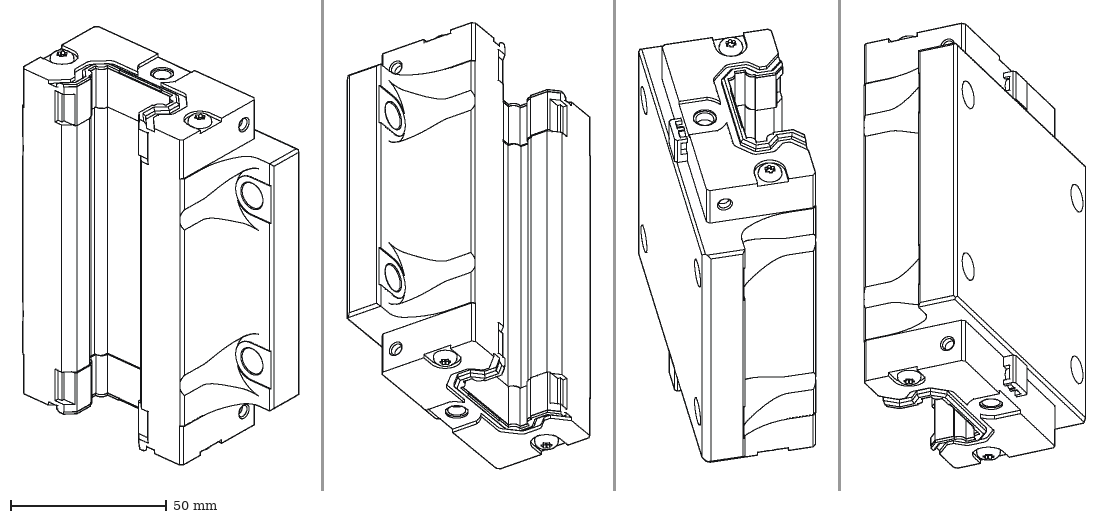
import cadquery as cq
import math


FLANGE_HALF_WIDTH = 50.0
CARRIAGE_HEIGHT = 40.5
TOTAL_LENGTH = 123.5
BLOCK_LENGTH = 92.6

FLANGE_UNDERSIDE = 26.5
FLANGE_CHAMFER = 1.0
REFERENCE_CHAMFER = 2.5
LEG_HALF_WIDTH = 35.1
LEG_CHAMFER = 1.0
WALL_TOP = 9.0
WALL_RADIUS = 28.4
FLANGE_FILLET = 6.0

HOLE_X = 41.0
HOLE_Z = 31.0
HOLE_DIAMETER = 9.0
HOLE_RIM_DIAMETER = 9.6
SEAT_RADIUS = 7.0
SEAT_DEPTH = 0.4
RELIEF_X = 46.2
RELIEF_RADIUS = 11.7

CHANNEL_TOP = 18.4
CHANNEL_LEG_X = 13.3
CHANNEL_LIP_TOP = 9.6
CHANNEL_NECK_X = 14.0
CHANNEL_GROOVE_X = 16.7
GROOVE_BOTTOM = 12.4
GROOVE_TOP = 15.8
GROOVE_ROUND = 2.2
LIP_CHAMFER = 3.0
BLOCK_CLEARANCE = 0.5

CAP_HALF_WIDTH = 34.7
CAP_TOP = 36.1
CAP_FACE = 60.9
CAP_CHAMFER = 1.0
CAP_RECESS = 1.2

SEAL_TOP = 20.6
SEAL_TOP_X = 14.8
SEAL_WIDE_X = 18.9
SEAL_WIDE_BOTTOM = 11.7
SEAL_NARROW_X = 15.5
SEAL_NARROW_BOTTOM = 4.0
SEAL_MARGIN = 2.5
SEAL_BEVEL = 0.9
SEAL_CLEARANCE = 0.1
SEAL_RELIEF_HALF_WIDTH = 9.1
SEAL_RELIEF_DEPTH = 0.5

PORT_Y = 29.3
PORT_DIAMETER = 5.8
PORT_MOUTH_DIAMETER = 7.4
PORT_MOUTH_DEPTH = 0.6
PORT_DEPTH = 3.7
TAB_HALF_WIDTH = 7.9
TAB_STRAIGHT_END = 26.8
TAB_NECK_HALF_WIDTH = 5.0

SCREW_X = 29.9
SCREW_Y = 14.2
SCREW_HEAD_DIAMETER = 7.7
SCREW_SEAT_RADIUS = 5.13
SCREW_ROUND = 1.7
SOCKET_CORE_DIAMETER = 2.5
SOCKET_LOBE_DIAMETER = 1.0
SOCKET_LOBES = 6
SOCKET_DEPTH = 1.2

SIDE_HOLE_Y = 30.1
SIDE_HOLE_Z = 53.7
SIDE_HOLE_DIAMETER = 4.0
SIDE_HOLE_MOUTH_DIAMETER = 5.0
SIDE_HOLE_DEPTH = 2.5

PLUG_SIZE = 9.9
PLUG_TOP = 40.1
PLUG_PLATE = 2.0
PLUG_CHAMFER = 0.7
PLUG_CORE_DIAMETER = 7.4
PLUG_CORE_Z = 52.1
PLUG_RIB = 1.2
PLUG_SIDE_WINDOW = 5.0

NOTCH_END = 58.0
NOTCH_HEIGHT = 2.5
NOTCH_DEEP_X = 18.5
NOTCH_STEP_X = 20.1
NOTCH_STEP_HEIGHT = 1.5

OVERCUT = 6.2


def both_sides(solid):
    """The solid together with its mirror image across X = 0."""
    return solid.union(solid.mirror("YZ"))


def both_ends(solid):
    """The solid together with its mirror image across Z = 0."""
    return solid.union(solid.mirror("XY"))


def box(x0, x1, y0, y1, z0, z1):
    return cq.Workplane("XY").box(x1 - x0, y1 - y0, z1 - z0, centered=False).translate((x0, y0, z0))


def symmetric_loop(half):
    """Closed outline from the right half, listed from the bottom up."""
    return half + [(-x, y) for x, y in reversed(half)]


def channel(start, end, clearance=0.0):
    """Rail channel cutter between two Z levels, open below Y = 0."""
    leg = CHANNEL_LEG_X + clearance
    lip_chamfer = LIP_CHAMFER + clearance
    neck = CHANNEL_NECK_X + clearance
    groove = CHANNEL_GROOVE_X + clearance
    top = CHANNEL_TOP + clearance
    lower = (
        cq.Workplane("XY")
        .polyline(symmetric_loop([
            (leg + lip_chamfer + OVERCUT, -OVERCUT),
            (leg, lip_chamfer),
            (leg, CHANNEL_LIP_TOP),
        ]))
        .close()
        .extrude(end - start)
    )
    upper = box(-neck, neck, CHANNEL_LIP_TOP, top, 0, end - start)
    shoulder = neck + GROOVE_ROUND
    low_start = GROOVE_BOTTOM - GROOVE_ROUND
    high_start = GROOVE_TOP + GROOVE_ROUND
    groove_side = (
        cq.Workplane("XY")
        .moveTo(0, low_start)
        .lineTo(neck, low_start)
        .radiusArc((shoulder, GROOVE_BOTTOM), GROOVE_ROUND)
        .lineTo(groove, GROOVE_BOTTOM)
        .lineTo(groove, GROOVE_TOP)
        .lineTo(shoulder, GROOVE_TOP)
        .radiusArc((neck, high_start), GROOVE_ROUND)
        .lineTo(0, high_start)
        .close()
        .extrude(end - start)
    )
    return lower.union(upper).union(both_sides(groove_side)).translate((0, 0, start))


def flange():
    plate = box(-FLANGE_HALF_WIDTH, FLANGE_HALF_WIDTH, FLANGE_UNDERSIDE, CARRIAGE_HEIGHT,
                -BLOCK_LENGTH / 2, BLOCK_LENGTH / 2)
    plate = plate.edges("|Z and <X and >Y").chamfer(REFERENCE_CHAMFER)
    plate = plate.edges("|Z and >X").chamfer(FLANGE_CHAMFER)
    plate = plate.edges("|Z and <X and <Y").chamfer(FLANGE_CHAMFER)
    plate = plate.edges("|Y and (<X or >X)").chamfer(FLANGE_CHAMFER)
    return plate.faces(">Y").edges("|X").chamfer(FLANGE_CHAMFER)


def block_legs():
    """Leg section below the flange, with its swept hollow sides."""
    sweep_x = LEG_HALF_WIDTH + WALL_RADIUS
    fillet_y = FLANGE_UNDERSIDE - FLANGE_FILLET
    rise = fillet_y - WALL_TOP
    run = math.sqrt((WALL_RADIUS - FLANGE_FILLET) ** 2 - rise ** 2)
    fillet_x = sweep_x - run
    turn = math.atan2(rise, run)
    joint = (sweep_x - WALL_RADIUS * math.cos(turn), WALL_TOP + WALL_RADIUS * math.sin(turn))
    half = (
        cq.Workplane("XY")
        .moveTo(0, 0)
        .lineTo(LEG_HALF_WIDTH - LEG_CHAMFER, 0)
        .lineTo(LEG_HALF_WIDTH, LEG_CHAMFER)
        .lineTo(LEG_HALF_WIDTH, WALL_TOP)
        .radiusArc(joint, WALL_RADIUS)
        .radiusArc((fillet_x, FLANGE_UNDERSIDE), FLANGE_FILLET)
        .lineTo(0, FLANGE_UNDERSIDE)
        .close()
        .extrude(BLOCK_LENGTH / 2, both=True)
    )
    return both_sides(half)


def mounting_hole():
    """Cutter for one hole with its seat and the relief around it, at +X +Z."""

    def drill(x, diameter, start, end):
        return (
            cq.Workplane("XZ", origin=(x, start, HOLE_Z))
            .circle(diameter / 2)
            .extrude(start - end)
        )

    seat_face = FLANGE_UNDERSIDE + SEAT_DEPTH
    seat = drill(HOLE_X, 2 * SEAT_RADIUS, -OVERCUT, seat_face)
    seat_exit = box(HOLE_X, FLANGE_HALF_WIDTH + OVERCUT, FLANGE_UNDERSIDE - OVERCUT, seat_face,
                    HOLE_Z - SEAT_RADIUS, HOLE_Z + SEAT_RADIUS)
    relief = drill(RELIEF_X, 2 * RELIEF_RADIUS, -OVERCUT, FLANGE_UNDERSIDE)
    hole = drill(HOLE_X, HOLE_DIAMETER, 0, CARRIAGE_HEIGHT + OVERCUT)
    rim_depth = (HOLE_RIM_DIAMETER - HOLE_DIAMETER) / 2
    rim = drill(HOLE_X, HOLE_RIM_DIAMETER, seat_face - rim_depth, seat_face + rim_depth)
    rim = rim.faces(">Y").chamfer(rim_depth)
    return seat.union(seat_exit).union(relief).union(hole).union(rim)


def block():
    body = flange().union(block_legs())
    body = body.cut(channel(-BLOCK_LENGTH / 2, BLOCK_LENGTH / 2, BLOCK_CLEARANCE))
    return body.cut(both_ends(both_sides(mounting_hole())))


def seal_outline():
    """Outer contour of the seal lip, carried below the open side."""
    spread = SEAL_NARROW_BOTTOM + OVERCUT
    return cq.Workplane("XY").polyline(symmetric_loop([
        (SEAL_NARROW_X + spread, -OVERCUT),
        (SEAL_NARROW_X, SEAL_NARROW_BOTTOM),
        (SEAL_NARROW_X, SEAL_WIDE_BOTTOM - (SEAL_WIDE_X - SEAL_NARROW_X)),
        (SEAL_WIDE_X, SEAL_WIDE_BOTTOM),
        (SEAL_WIDE_X, SEAL_TOP - (SEAL_WIDE_X - SEAL_TOP_X)),
        (SEAL_TOP_X, SEAL_TOP),
    ])).close()


def seal_lip(floor):
    lip = seal_outline().extrude(TOTAL_LENGTH / 2 - floor).faces(">Z").chamfer(SEAL_BEVEL)
    relief = box(-SEAL_RELIEF_HALF_WIDTH, SEAL_RELIEF_HALF_WIDTH, 0, CHANNEL_TOP + SEAL_RELIEF_DEPTH,
                 CAP_FACE, TOTAL_LENGTH / 2)
    above_open_side = box(-CAP_HALF_WIDTH, CAP_HALF_WIDTH, 0, CAP_TOP, 0, TOTAL_LENGTH)
    lip = lip.translate((0, 0, floor)).intersect(above_open_side)
    return lip.cut(channel(CAP_FACE, TOTAL_LENGTH / 2, SEAL_CLEARANCE)).cut(relief)


def port_tab():
    """Recess that runs from the seal lip up to the cap top around the grease port."""
    tab_end = SEAL_TOP + SEAL_MARGIN
    return (
        cq.Workplane("XY")
        .moveTo(-TAB_HALF_WIDTH, CAP_TOP + OVERCUT)
        .lineTo(-TAB_HALF_WIDTH, TAB_STRAIGHT_END)
        .radiusArc((-TAB_NECK_HALF_WIDTH, tab_end), -TAB_HALF_WIDTH)
        .lineTo(-TAB_NECK_HALF_WIDTH, SEAL_TOP)
        .lineTo(TAB_NECK_HALF_WIDTH, SEAL_TOP)
        .lineTo(TAB_NECK_HALF_WIDTH, tab_end)
        .radiusArc((TAB_HALF_WIDTH, TAB_STRAIGHT_END), -TAB_HALF_WIDTH)
        .lineTo(TAB_HALF_WIDTH, CAP_TOP + OVERCUT)
        .close()
        .extrude(OVERCUT)
    )


def grease_port(floor):
    bore = cq.Workplane("XY").circle(PORT_DIAMETER / 2).extrude(-PORT_DEPTH)
    mouth = cq.Workplane("XY").circle(PORT_MOUTH_DIAMETER / 2).extrude(-PORT_MOUTH_DEPTH)
    return bore.union(mouth).translate((0, PORT_Y, floor))


def screw_seat(floor):
    """Recess around the right-hand screw, open to the cap side."""
    seat = cq.Workplane("XY").circle(SCREW_SEAT_RADIUS).extrude(OVERCUT)
    exit_slot = box(0, SCREW_SEAT_RADIUS + OVERCUT, -SCREW_SEAT_RADIUS, SCREW_SEAT_RADIUS, 0, OVERCUT)
    return seat.union(exit_slot).translate((SCREW_X, SCREW_Y, floor))


def screw_head(floor):
    """Rounded head with a six-lobed socket."""
    height = TOTAL_LENGTH / 2 - floor
    head = cq.Workplane("XY").circle(SCREW_HEAD_DIAMETER / 2).extrude(height)
    head = head.faces(">Z").edges().fillet(SCREW_ROUND)
    socket = cq.Workplane("XY").circle(SOCKET_CORE_DIAMETER / 2).extrude(SOCKET_DEPTH)
    lobes = (
        cq.Workplane("XY")
        .polarArray(SOCKET_CORE_DIAMETER / 2, 0, 360, SOCKET_LOBES)
        .circle(SOCKET_LOBE_DIAMETER / 2)
        .extrude(SOCKET_DEPTH)
    )
    socket = socket.union(lobes).translate((0, 0, height - SOCKET_DEPTH))
    return head.cut(socket).translate((SCREW_X, SCREW_Y, floor))


def side_hole():
    """Countersunk blind hole in the right-hand cap side."""
    mouth_depth = (SIDE_HOLE_MOUTH_DIAMETER - SIDE_HOLE_DIAMETER) / 2
    return (
        cq.Workplane("XY")
        .lineTo(SIDE_HOLE_MOUTH_DIAMETER / 2, 0)
        .lineTo(SIDE_HOLE_DIAMETER / 2, -mouth_depth)
        .lineTo(SIDE_HOLE_DIAMETER / 2, -SIDE_HOLE_DEPTH)
        .lineTo(0, -SIDE_HOLE_DEPTH)
        .close()
        .revolve(360, (0, 0), (0, 1))
        .rotate((0, 0, 0), (0, 0, 1), -90)
        .translate((CAP_HALF_WIDTH, SIDE_HOLE_Y, SIDE_HOLE_Z))
    )


def corner_notch():
    """Stepped pocket at the lower inner corner of the right-hand cap leg."""
    start = BLOCK_LENGTH / 2
    deep = box(0, NOTCH_DEEP_X, -OVERCUT, NOTCH_HEIGHT, start, NOTCH_END)
    step = box(0, NOTCH_STEP_X, -OVERCUT, NOTCH_STEP_HEIGHT, start, NOTCH_END)
    return deep.union(step)


def plug():
    """Square plug on the cap top: a plate over a round core with windows around it."""
    start = BLOCK_LENGTH / 2
    end = start + PLUG_SIZE
    half = PLUG_SIZE / 2
    under_plate = PLUG_TOP - PLUG_PLATE
    core_radius = PLUG_CORE_DIAMETER / 2
    body = box(-half, half, CAP_TOP, PLUG_TOP, start, end).faces(">Y").edges("|Z").chamfer(PLUG_CHAMFER)
    end_window = box(-core_radius, core_radius, CAP_TOP, under_plate, PLUG_CORE_Z, end)
    rib = box(-PLUG_RIB / 2, PLUG_RIB / 2, CAP_TOP, under_plate, PLUG_CORE_Z, end)
    side_window = box(-half, half, CAP_TOP, under_plate,
                      PLUG_CORE_Z - PLUG_SIDE_WINDOW / 2, PLUG_CORE_Z + PLUG_SIDE_WINDOW / 2)
    core = (
        cq.Workplane("XZ", origin=(0, CAP_TOP, PLUG_CORE_Z))
        .circle(core_radius)
        .extrude(-(under_plate - CAP_TOP))
    )
    return body.cut(end_window).cut(side_window).union(rib).union(core)


def end_cap():
    """Cap at the +Z end with its seal lip, screws, ports and plug."""
    start = BLOCK_LENGTH / 2
    floor = CAP_FACE - CAP_RECESS
    cap = box(-CAP_HALF_WIDTH, CAP_HALF_WIDTH, 0, CAP_TOP, start, CAP_FACE)
    cap = cap.edges("|Z").chamfer(CAP_CHAMFER)
    seal_recess = seal_outline().offset2D(SEAL_MARGIN, "arc").extrude(OVERCUT)
    cap = cap.cut(seal_recess.union(port_tab()).translate((0, 0, floor)))
    cap = cap.union(seal_lip(floor)).cut(channel(start, TOTAL_LENGTH / 2))
    cap = cap.cut(grease_port(floor))
    cap = cap.cut(both_sides(screw_seat(floor).union(side_hole()).union(corner_notch())))
    return cap.union(both_sides(screw_head(floor))).union(plug())


result = block().union(both_ends(end_cap()))